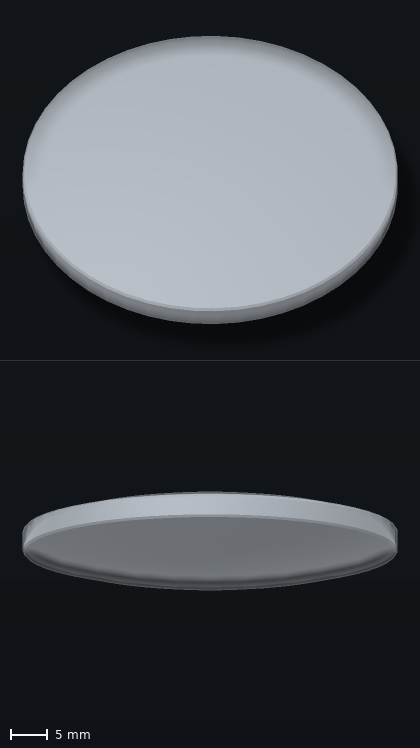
import cadquery as cq
import math

lens_diameter = 50.8
center_thickness = 10.3
sharp_edge_thickness = 3.0
bevel_size = 0.25

rim_radius = lens_diameter / 2
optical_radius = rim_radius - bevel_size
apex_z = center_thickness / 2
rim_z = sharp_edge_thickness / 2 - bevel_size

sag = (center_thickness - sharp_edge_thickness) / 2
sphere_radius = (rim_radius**2 + sag**2) / (2 * sag)


def face_height(radius):
    """Height of the upper spherical face at a distance from the axis."""
    return apex_z - sphere_radius + math.sqrt(sphere_radius**2 - radius**2)


optical_edge_z = face_height(optical_radius)

arc_mid_radius = optical_radius / 2
arc_mid_z = face_height(arc_mid_radius)

half_section = (
    cq.Workplane("XZ")
    .moveTo(0, -apex_z)
    .threePointArc((-arc_mid_radius, -arc_mid_z), (-optical_radius, -optical_edge_z))
    .lineTo(-rim_radius, -rim_z)
    .lineTo(-rim_radius, rim_z)
    .lineTo(-optical_radius, optical_edge_z)
    .threePointArc((-arc_mid_radius, arc_mid_z), (0, apex_z))
    .close()
)

result = half_section.revolve(360, (0, 0, 0), (0, 1, 0))